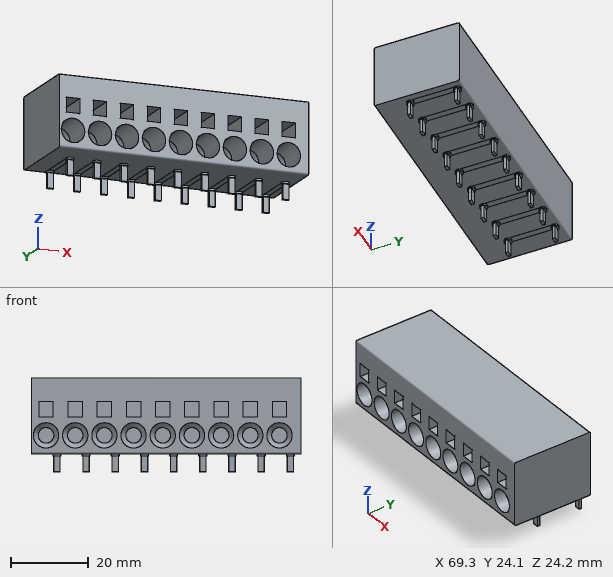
import cadquery as cq

POLES = 9
PITCH = 7.5
LENGTH = 69.3
DEPTH = 24.15
HEIGHT = 19.6
EDGE_RADIUS = 0.5

FIRST_POLE_X = 3.75
BORE_Z = 4.8
BORE_DIAMETER = 6.5
BORE_DEPTH = 10.0
FLOOR_DIAMETER = 4.0
TAPER_DEPTH = 2.0
WINDOW_WIDTH = 3.7
WINDOW_HEIGHT = 4.0
WINDOW_Z = 11.5
WINDOW_DEPTH = 10.0

FIRST_CONTACT_X = 6.55
FRONT_LEG_Y = 9.0
LEG_SPACING = 13.3
LEG_WIDTH = 1.7
LEG_THICKNESS = 0.8
LEG_DROP = 4.6
COLLAR_DIAMETER = 2.1
COLLAR_HEIGHT = 0.5
BAR_THICKNESS = LEG_THICKNESS

LEG_POSITIONS_Y = [FRONT_LEG_Y, FRONT_LEG_Y + LEG_SPACING]


def pole_positions(first_x):
    """X of each pole's feature, given its place on the first pole."""
    return [first_x + pole * PITCH for pole in range(POLES)]


def make_block():
    """Housing block with its four long edges rounded."""
    block = cq.Workplane("XY").box(LENGTH, DEPTH, HEIGHT, centered=False)
    return block.edges("|X").fillet(EDGE_RADIUS)


def make_opening(x):
    """Straight conductor opening with a tapered end and a smaller flat floor."""
    taper_end = BORE_DEPTH + TAPER_DEPTH
    return (
        cq.Workplane("XY")
        .lineTo(BORE_DIAMETER / 2, 0)
        .lineTo(BORE_DIAMETER / 2, BORE_DEPTH)
        .lineTo(FLOOR_DIAMETER / 2, taper_end)
        .lineTo(0, taper_end)
        .close()
        .revolve(360, (0, 0, 0), (0, 1, 0))
        .translate((x, 0, BORE_Z))
    )


def make_window(x):
    """Rectangular release opening above the bore."""
    return (
        cq.Workplane("XY")
        .box(WINDOW_WIDTH, WINDOW_DEPTH, WINDOW_HEIGHT, centered=(True, False, True))
        .translate((x, 0, WINDOW_Z))
    )


def make_bar(x):
    """Bar flush with the underside, spanning both legs."""
    return (
        cq.Workplane("XY")
        .box(LEG_WIDTH, LEG_SPACING + LEG_THICKNESS, BAR_THICKNESS, centered=(True, True, False))
        .translate((x, FRONT_LEG_Y + LEG_SPACING / 2, 0))
    )


def make_contact(x):
    """One contact: the bar with a round collar and a flat leg below each end."""
    contact = make_bar(x)
    for y in LEG_POSITIONS_Y:
        base = cq.Workplane("XY").center(x, y)
        collar = base.circle(COLLAR_DIAMETER / 2).extrude(-COLLAR_HEIGHT)
        leg = base.rect(LEG_WIDTH, LEG_THICKNESS).extrude(-LEG_DROP)
        contact = contact.union(collar).union(leg)
    return contact


def make_housing():
    """Block with its front openings and the recesses that hold the contact bars."""
    housing = make_block()
    for x in pole_positions(FIRST_POLE_X):
        housing = housing.cut(make_opening(x)).cut(make_window(x))
    for x in pole_positions(FIRST_CONTACT_X):
        housing = housing.cut(make_bar(x))
    return housing


housing = make_housing()
contacts = [make_contact(x) for x in pole_positions(FIRST_CONTACT_X)]

result = cq.Compound.makeCompound([housing.val(), *[contact.val() for contact in contacts]])